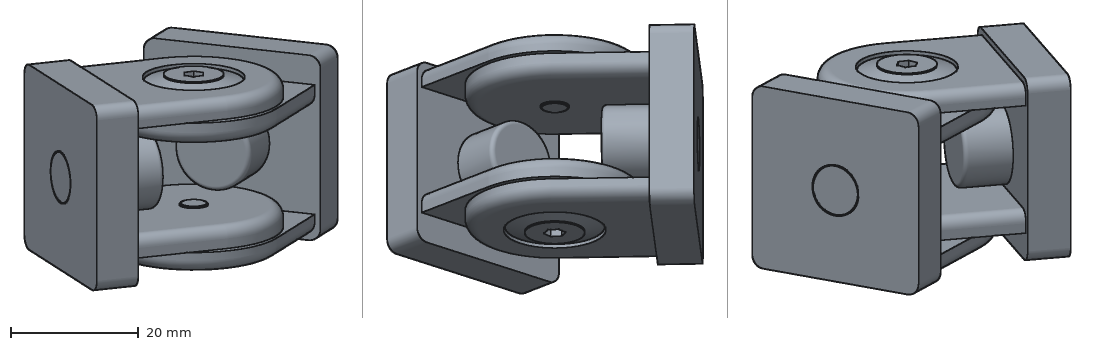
import cadquery as cq

plate_size = 30.0
plate_thickness = 7.0
plate_corner_radius = 2.0
pivot_to_back = 22.5
plate_inner_y = plate_thickness - pivot_to_back

ear_radius = 14.0
ear_edge_radius = 1.95
socket_ear_top = 13.95
socket_ear_bottom = 10.7
pin_ear_top = -6.7
pin_ear_bottom = -10.3

pin_radius = 5.75
pin_tip_radius = 2.25
pin_tip_height = 0.3
pin_tip_chamfer = 0.2
head_radius = 7.8
seat_radius = 8.0
seat_depth = 1.6
head_rim_depth = 0.55
crown_radius = 4.7
crown_base_height = 0.25
crown_height = 0.5
hex_across_flats = 3.0
hex_depth = 2.95
hex_turn = 38.4

boss_radius = 6.35
boss_length = 7.95
boss_edge_radius = 0.75
groove_outer_radius = 4.15
groove_inner_radius = 4.0
groove_depth = 0.25

swing_angle = -135


def base_plate():
    plate = (
        cq.Workplane("XY")
        .box(plate_size, plate_thickness, plate_size, centered=(True, False, True))
        .translate((0, -pivot_to_back, 0))
        .edges("|Y")
        .fillet(plate_corner_radius)
    )
    groove = (
        cq.Workplane("XZ", origin=(0, -pivot_to_back, 0))
        .circle(groove_outer_radius)
        .circle(groove_inner_radius)
        .extrude(-groove_depth)
    )
    return plate.cut(groove)


def boss():
    return (
        cq.Workplane("XZ", origin=(0, plate_inner_y, 0))
        .circle(boss_radius)
        .extrude(-boss_length)
        .faces(">Y")
        .edges()
        .fillet(boss_edge_radius)
    )


def ear(bottom, top):
    """Round-ended plate with its upper edge rounded, running back to the base plate."""
    return (
        cq.Workplane("XY", origin=(0, 0, bottom))
        .moveTo(-ear_radius, plate_inner_y)
        .lineTo(-ear_radius, 0)
        .threePointArc((0, ear_radius), (ear_radius, 0))
        .lineTo(ear_radius, plate_inner_y)
        .close()
        .extrude(top - bottom)
        .faces(">Z")
        .edges("not <Y")
        .fillet(ear_edge_radius)
    )


def pin_seat():
    """Through hole and counterbore for the other half's pin."""
    hole = cq.Workplane("XY", origin=(0, 0, socket_ear_bottom)).circle(pin_radius)
    counterbore = cq.Workplane("XY", origin=(0, 0, socket_ear_top)).circle(seat_radius)
    return hole.extrude(socket_ear_top - socket_ear_bottom).union(counterbore.extrude(-seat_depth))


def pin():
    """Pin under the lower ear, with a conical head, crown and hex socket; chamfered tip above it."""
    ear_face = -socket_ear_top
    crown_top = ear_face - crown_height
    shaft = (
        cq.Workplane("XZ")
        .polyline([
            (0, pin_ear_bottom),
            (pin_radius, pin_ear_bottom),
            (pin_radius, ear_face + seat_depth),
            (head_radius, ear_face + seat_depth),
            (head_radius, ear_face + head_rim_depth),
            (crown_radius, ear_face - crown_base_height),
            (crown_radius, crown_top),
            (0, crown_top),
        ])
        .close()
        .revolve(360, (0, 0, 0), (0, 1, 0))
    )
    hex_socket = (
        cq.Workplane("XY", origin=(0, 0, crown_top))
        .polygon(6, hex_across_flats, circumscribed=True)
        .extrude(hex_depth)
        .rotate((0, 0, 0), (0, 0, 1), hex_turn)
    )
    tip = (
        cq.Workplane("XY", origin=(0, 0, pin_ear_top))
        .circle(pin_tip_radius)
        .extrude(pin_tip_height)
        .faces(">Z")
        .chamfer(pin_tip_chamfer)
    )
    return shaft.cut(hex_socket).union(tip)


def hinge_half(turn, swing):
    """One hinge half, turned over about the Y axis and then swung about the pivot axis."""
    socket_ear = ear(socket_ear_bottom, socket_ear_top).cut(pin_seat())
    pin_ear = ear(pin_ear_bottom, pin_ear_top)
    half = base_plate().union(boss()).union(socket_ear).union(pin_ear).union(pin())
    return half.rotate((0, 0, 0), (0, 1, 0), turn).rotate((0, 0, 0), (0, 0, 1), swing)


half_positions = [(0, 0), (180, swing_angle)]
hinge_halves = [hinge_half(turn, swing) for turn, swing in half_positions]

result = cq.Compound.makeCompound([half.val() for half in hinge_halves])